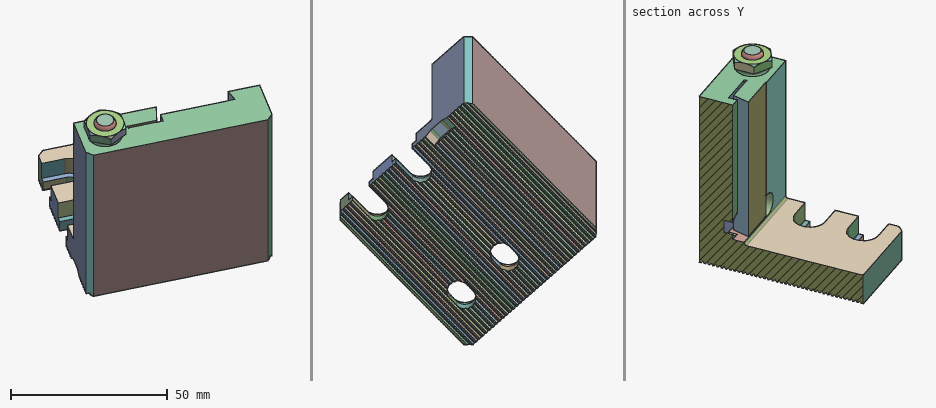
import cadquery as cq
import math

length = 58.0
width = 62.0
overall_height = 69.4
foot_height = 11.0
wall_height = 63.0
wall_face_x = 42.0
corner_chamfer = 2.0
inner_fillet = 0.8

groove_count = 38
groove_end_margin = 1.25
groove_width = 1.05
groove_depth = 0.7
groove_pitch = (length - 2 * groove_end_margin) / (groove_count - 1)

slot_columns_x = (11.0, 29.85)
bore_diameter = 7.15
counterbore_diameter = 10.6
counterbore_floor = 4.3
slot_travel = 3.05
closed_slot_y = 47.15
open_slot_end_y = 7.7

recess_x = 43.95
recess_height = 2.1
recess_bottom_width = 9.7
recess_top_width = 4.6
recess_fillet = 1.4
recess_depth = 4.2

flank_slope = math.tan(math.radians(15))
pocket_floor_z = 12.0
shallow_depth = 4.0
deep_depth = 7.1
pocket_back_y = 51.45
step_y = 27.8
pocket_front_y = 14.3
relief_diameter = 8.05
back_relief_y = 52.6
step_relief_y = 27.6
front_relief_y = 13.5

strip_face_x = 42.3
strip_back_x = 48.25
strip_back_y = 27.5
pin_diameter = 5.0
pin_y = 21.1

stud_x = 49.9
stud_y = 8.2
collar_diameter = 10.6
collar_base_diameter = 11.05
collar_flare_height = 0.7
nut_bottom = 64.8
nut_top = 68.0
nut_across_flats = 12.0
nut_chamfer_height = 0.6
stud_diameter = 7.15
stud_end_diameter = 5.55
stud_mid_diameter = 6.7


def make_body():
    profile = [
        (0, 0),
        (length, 0),
        (length, wall_height),
        (wall_face_x, wall_height),
        (wall_face_x, foot_height),
        (0, foot_height),
    ]
    body = cq.Workplane("XZ").polyline(profile).close().extrude(-width)
    inner_corner = cq.selectors.NearestToPointSelector((wall_face_x, width / 2, foot_height))
    body = body.edges(inner_corner).fillet(inner_fillet)
    outline = (
        cq.Workplane("XY")
        .rect(length, width, centered=False)
        .extrude(overall_height)
        .edges("|Z")
        .chamfer(corner_chamfer)
    )
    return body.intersect(outline)


def make_slot(x, back_y, front_y, diameter, bottom, top):
    """Upright slot cutter whose end centres lie at back_y and front_y."""
    travel = back_y - front_y
    return (
        cq.Workplane("XY", origin=(x, (back_y + front_y) / 2, bottom))
        .slot2D(travel + diameter, diameter, 90)
        .extrude(top - bottom)
    )


def cut_foot_slots(body):
    slot_ends = (
        (closed_slot_y + slot_travel / 2, closed_slot_y - slot_travel / 2),
        (open_slot_end_y, -counterbore_diameter),
    )
    for x in slot_columns_x:
        for back_y, front_y in slot_ends:
            body = body.cut(make_slot(x, back_y, front_y, bore_diameter, 0, foot_height))
            body = body.cut(
                make_slot(x, back_y, front_y, counterbore_diameter, counterbore_floor, foot_height)
            )
    return body


def cut_bottom_grooves(body):
    for index in range(groove_count):
        x = groove_end_margin + index * groove_pitch
        groove = (
            cq.Workplane("XZ")
            .polyline([(x - groove_width / 2, 0), (x, groove_depth), (x + groove_width / 2, 0)])
            .close()
            .extrude(-width)
        )
        body = body.cut(groove)
    return body


def cut_front_recess(body):
    recess = (
        cq.Workplane("XZ", origin=(recess_x, 0, 0))
        .polyline([
            (-recess_bottom_width / 2, 0),
            (-recess_top_width / 2, recess_height),
            (recess_top_width / 2, recess_height),
            (recess_bottom_width / 2, 0),
        ])
        .close()
        .extrude(-recess_depth)
        .faces(">Z")
        .edges("|Y")
        .fillet(recess_fillet)
    )
    return body.cut(recess)


def cut_relief(body, back_y, front_y, depth):
    """Round-ended slot in the wall face along the pocket floor."""
    relief = (
        cq.Workplane(
            "YZ",
            origin=(wall_face_x, (back_y + front_y) / 2, pocket_floor_z + relief_diameter / 2),
        )
        .slot2D(back_y - front_y + relief_diameter, relief_diameter)
        .extrude(depth)
    )
    return body.cut(relief)


def extrude_in_wall(points):
    """Prism from the pocket floor to the top of the wall."""
    return (
        cq.Workplane("XY", origin=(0, 0, pocket_floor_z))
        .polyline(points)
        .close()
        .extrude(wall_height - pocket_floor_z)
    )


def cut_wall_pocket(body):
    shallow_x = wall_face_x + shallow_depth
    deep_x = wall_face_x + deep_depth
    pocket = extrude_in_wall([
        (wall_face_x, pocket_back_y),
        (shallow_x, pocket_back_y + shallow_depth * flank_slope),
        (shallow_x, step_y),
        (deep_x, step_y),
        (deep_x, pocket_front_y + deep_depth * flank_slope),
        (wall_face_x, pocket_front_y),
    ])
    body = body.cut(pocket)
    body = cut_relief(body, back_relief_y, step_relief_y, shallow_depth)
    return cut_relief(body, step_relief_y, front_relief_y, deep_depth)


def make_clamping_strip():
    """Wedge strip resting against the inclined front end of the pocket."""
    strip_thickness = strip_back_x - strip_face_x
    face_inset = strip_face_x - wall_face_x
    back_inset = strip_back_x - wall_face_x
    strip = extrude_in_wall([
        (strip_face_x, strip_back_y),
        (strip_back_x, strip_back_y - strip_thickness * flank_slope),
        (strip_back_x, pocket_front_y + back_inset * flank_slope),
        (strip_face_x, pocket_front_y + face_inset * flank_slope),
    ])
    pin_z = (pocket_floor_z + wall_height) / 2
    pin = (
        cq.Workplane("YZ", origin=(strip_face_x, pin_y, pin_z))
        .circle(pin_diameter / 2)
        .extrude(wall_face_x + deep_depth - strip_face_x)
    )
    return strip.union(pin)


def make_nut():
    across_corners = nut_across_flats / math.cos(math.radians(30))
    height = nut_top - nut_bottom
    hexagon = cq.Workplane("XY").polygon(6, across_corners).extrude(height)
    chamfer_width = (across_corners - nut_across_flats) / 2
    envelope = (
        cq.Workplane("XY")
        .circle(across_corners / 2)
        .extrude(height)
        .faces(">Z")
        .chamfer(nut_chamfer_height, chamfer_width)
    )
    return hexagon.intersect(envelope).translate((stud_x, stud_y, nut_bottom))


def make_stud():
    """Flared collar and rounded stud end, revolved about the stud axis, plus the nut."""
    profile = (
        cq.Workplane("XZ")
        .moveTo(0, wall_height)
        .lineTo(collar_base_diameter / 2, wall_height)
        .lineTo(collar_diameter / 2, wall_height + collar_flare_height)
        .lineTo(collar_diameter / 2, nut_bottom)
        .lineTo(stud_diameter / 2, nut_bottom)
        .lineTo(stud_diameter / 2, nut_top)
        .threePointArc(
            (stud_mid_diameter / 2, (nut_top + overall_height) / 2),
            (stud_end_diameter / 2, overall_height),
        )
        .lineTo(0, overall_height)
        .close()
    )
    stud = profile.revolve(360, (0, 0, 0), (0, 1, 0)).translate((stud_x, stud_y, 0))
    return stud.union(make_nut())


bracket = make_body()
bracket = cut_foot_slots(bracket)
bracket = cut_bottom_grooves(bracket)
bracket = cut_front_recess(bracket)
bracket = cut_wall_pocket(bracket)
result = bracket.union(make_clamping_strip()).union(make_stud())